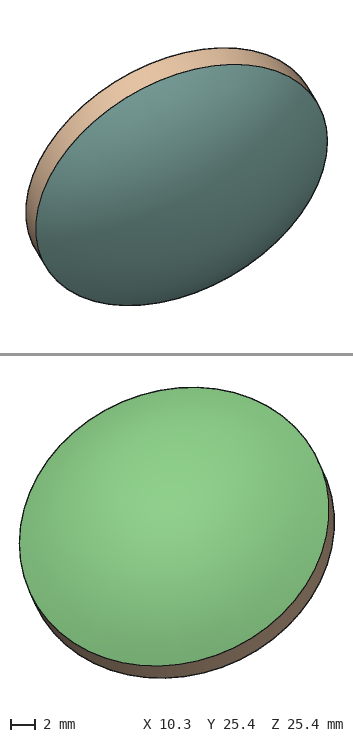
import cadquery as cq

diameter = 25.4
center_thickness = 10.29
rim_width = 2.05

radius = diameter / 2
half_rim = rim_width / 2
half_thickness = center_thickness / 2

dome_height = half_thickness - half_rim
sphere_radius = (radius**2 + dome_height**2) / (2 * dome_height)
sphere_center = half_thickness - sphere_radius
mid_radius = radius / 2
mid_x = sphere_center + (sphere_radius**2 - mid_radius**2) ** 0.5

half_section = (
    cq.Workplane("XY")
    .moveTo(-half_thickness, 0)
    .threePointArc((-mid_x, mid_radius), (-half_rim, radius))
    .lineTo(half_rim, radius)
    .threePointArc((mid_x, mid_radius), (half_thickness, 0))
    .close()
)

result = half_section.revolve(360, (0, 0, 0), (1, 0, 0))